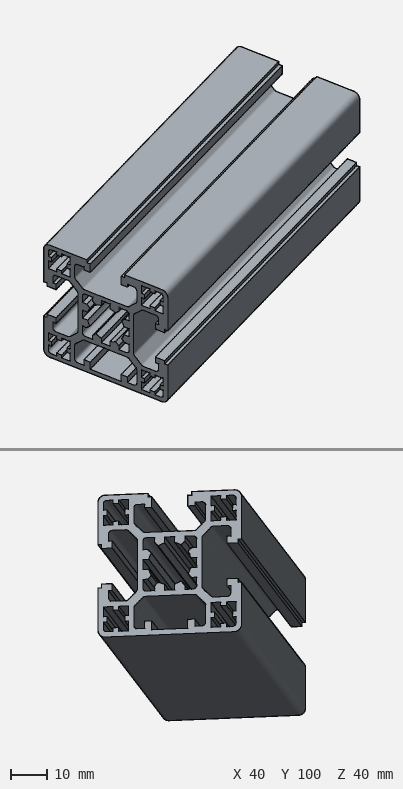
import cadquery as cq

length = 100.0
side = 40.0
half_side = side / 2
outer_radius = 2.0
wall = 1.5

mouth_half_width = 5.0
step_half_width = 6.1
step_depth = 1.0
lip_half_width = 7.0
lip_level = 16.0
slot_half_width = 10.0
slot_ceiling = 17.0
slot_floor = 9.0
slot_corner_radius = 1.0
closed_slot_ceiling = 18.0

chamber_half = slot_floor - wall
bore_radius = 6.0
rib_inner = 1.4
rib_outer = 4.2
rib_bevel_start = 6.1
rib_bevel = 1.2
chamber_radius = 1.0

corner_inner = slot_half_width + wall
corner_outer = half_side - wall
corner_size = corner_outer - corner_inner
corner_center = (corner_inner + corner_outer) / 2
corner_radius = 1.0
corner_rib_width = 1.6
corner_rib_height = 1.0

flank_offset = 1.8
flank_top = slot_half_width + flank_offset
flank_bottom = slot_floor - flank_offset


def prism(points):
    """Extrude a closed XZ outline over the full length, centred on Y = 0."""
    return cq.Workplane("XZ").polyline(points).close().extrude(length / 2, both=True)


def block(x_size, z_size, x=0.0, z=0.0):
    """Full-length bar centred at the given XZ position."""
    return cq.Workplane("XY").box(x_size, length, z_size).translate((x, 0, z))


def round_corners(body, corners, radius):
    """Fillet the lengthwise edges that pass through the given XZ corners."""
    for x, z in corners:
        edge = cq.selectors.NearestToPointSelector((x, 0, z))
        body = body.edges(edge).fillet(radius)
    return body


def turned(body, angle):
    """Rotate a body about the lengthwise axis through the profile centre."""
    return body.rotate((0, 0, 0), (0, 1, 0), angle)


def slot_cavity(ceiling, opening):
    """Slot volume on the +Z side; opening lists the outline above the lip on +X."""
    right = [
        (flank_bottom, slot_floor),
        (slot_half_width, flank_top),
        (slot_half_width, ceiling),
        (lip_half_width, ceiling),
        (lip_half_width, lip_level),
        (mouth_half_width, lip_level),
    ] + opening
    left = [(-x, z) for x, z in reversed(right)]
    rounded = [
        (sign * x, z)
        for sign in (1, -1)
        for x, z in (
            (slot_half_width, ceiling),
            (slot_half_width, flank_top),
            (flank_bottom, slot_floor),
        )
    ]
    return round_corners(prism(right + left), rounded, slot_corner_radius)


def open_slot():
    step_level = half_side - step_depth
    opening = [
        (mouth_half_width, step_level),
        (step_half_width, step_level),
        (step_half_width, half_side),
    ]
    return slot_cavity(slot_ceiling, opening)


def closed_slot():
    return slot_cavity(closed_slot_ceiling, [(mouth_half_width, half_side - wall)])


def corner_chamber():
    """Ribbed square chamber in the +X +Z corner."""
    chamber = block(corner_size, corner_size, corner_center, corner_center)
    chamber = round_corners(chamber, [(corner_outer, corner_outer)], corner_radius)
    rib_offset = (corner_size - corner_rib_height) / 2
    for sign in (1, -1):
        rib_position = corner_center + sign * rib_offset
        chamber = chamber.cut(block(corner_rib_width, corner_rib_height, corner_center, rib_position))
        chamber = chamber.cut(block(corner_rib_height, corner_rib_width, rib_position, corner_center))
    return chamber


def central_chamber():
    """Square chamber less its ribs, which end on the bore."""
    bore = cq.Workplane("XZ").circle(bore_radius).extrude(length / 2, both=True)
    rib_tip = rib_bevel_start - rib_bevel
    rib = prism([
        (rib_inner, chamber_half),
        (rib_inner, rib_tip),
        (rib_outer - rib_bevel, rib_tip),
        (rib_outer, rib_bevel_start),
        (rib_outer, chamber_half),
    ]).cut(bore)
    rib_pair = rib.union(rib.mirror("YZ"))
    chamber = block(2 * chamber_half, 2 * chamber_half).edges("|Y").fillet(chamber_radius)
    for angle in (0, 90, 180, 270):
        chamber = chamber.cut(turned(rib_pair, angle))
    return chamber


result = block(side, side).edges("|Y").fillet(outer_radius)
result = result.cut(central_chamber())

for angle in (0, 90, 180, 270):
    result = result.cut(turned(corner_chamber(), angle))

for angle in (0, 90, -90):
    result = result.cut(turned(open_slot(), angle))
result = result.cut(turned(closed_slot(), 180))